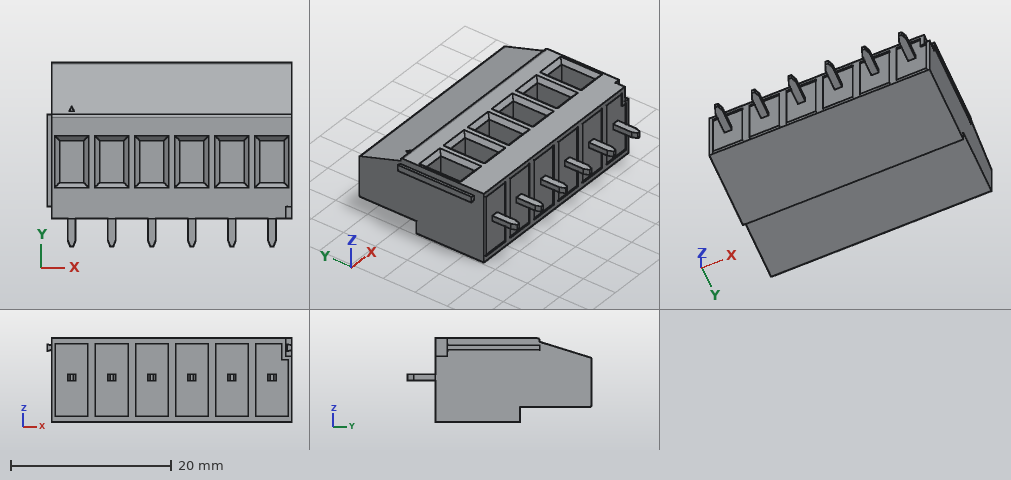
import cadquery as cq


POLES = 6
TOTAL_WIDTH = 30.6
RAIL_REACH = 0.58
BODY_WIDTH = TOTAL_WIDTH - RAIL_REACH
PITCH = BODY_WIDTH / POLES
HEIGHT = 10.5
DEPTH = 19.52
POLE_CENTRES = [(pole + 0.5) * PITCH for pole in range(POLES)]

FLANGE_DEPTH = 1.5
UNDERCUT_HEIGHT = 1.87
UNDERCUT_START = 10.6
SHOULDER_Y = 13.05
SHOULDER_BASE = 10.05
REAR_TOP = 8.02
SHOULDER_RADIUS = 0.35
REAR_RADIUS = 0.25

RAIL_TOP = HEIGHT - 0.75
RAIL_HEIGHT = 0.9
RAIL_NECK_INSET = 0.15
NOTCH_WIDTH = 0.75
NOTCH_HEIGHT = 2.25

WINDOW_WIDTH = 4.07
WINDOW_MARGIN = 0.73
WINDOW_DEPTH = 0.18
NOTCH_WALL_SIDE = 0.52
NOTCH_WALL_BELOW = 0.43

OPENING_WIDTH = 4.25
OPENING_LENGTH = 6.5
OPENING_FRONT = 3.9
OPENING_BEVEL = 0.6
OPENING_DEPTH = 6.12

PIN_WIDTH = 1.0
PIN_THICKNESS = 0.8
PIN_LENGTH = 3.5
PIN_TIP_LENGTH = 0.75
PIN_TIP_WIDTH = 0.4
PIN_CENTRE_Z = HEIGHT - 4.93

MARK_WIDTH = 0.6
MARK_LENGTH = 0.6
MARK_START = 13.43
MARK_DEPTH = 0.1


def box(x, y, z):
    """Box spanning the given (low, high) ranges."""
    size = (x[1] - x[0], y[1] - y[0], z[1] - z[0])
    return cq.Workplane("XY").box(*size, centered=False).translate((x[0], y[0], z[0]))


def along_y(points, start, end):
    """Prism with an outline in X and Z, spanning start to end along Y."""
    return cq.Workplane("XZ", origin=(0, start, 0)).polyline(points).close().extrude(start - end)


def make_body():
    """Housing with its stepped underside, sloped rear top and rounded long edges."""
    profile = [
        (0, 0),
        (UNDERCUT_START, 0),
        (UNDERCUT_START, UNDERCUT_HEIGHT),
        (DEPTH, UNDERCUT_HEIGHT),
        (DEPTH, REAR_TOP),
        (SHOULDER_Y, SHOULDER_BASE),
        (SHOULDER_Y, HEIGHT),
        (0, HEIGHT),
    ]
    body = cq.Workplane("YZ").polyline(profile).close().extrude(BODY_WIDTH)
    body = body.edges("|X and >Y").fillet(REAR_RADIUS)
    shoulder_edge = cq.selectors.NearestToPointSelector((BODY_WIDTH / 2, SHOULDER_Y, HEIGHT))
    return body.edges(shoulder_edge).fillet(SHOULDER_RADIUS)


def make_dovetail(neck_x):
    """Dovetail bar that widens towards -X from its neck."""
    tip_x = neck_x - RAIL_REACH
    low = RAIL_TOP - RAIL_HEIGHT
    outline = [
        (neck_x, low + RAIL_NECK_INSET),
        (neck_x, RAIL_TOP - RAIL_NECK_INSET),
        (tip_x, RAIL_TOP),
        (tip_x, low),
    ]
    return along_y(outline, FLANGE_DEPTH, SHOULDER_Y)


def make_flange_notch():
    """Upper corner cut through the flange, which opens the groove to the front."""
    return box((BODY_WIDTH - NOTCH_WIDTH, BODY_WIDTH), (0, FLANGE_DEPTH), (HEIGHT - NOTCH_HEIGHT, HEIGHT))


def make_window(centre_x):
    """Shallow front recess that leaves a wall around the flange notch."""
    half = WINDOW_WIDTH / 2
    window = box(
        (centre_x - half, centre_x + half), (0, WINDOW_DEPTH), (WINDOW_MARGIN, HEIGHT - WINDOW_MARGIN)
    )
    notch_wall = box(
        (BODY_WIDTH - NOTCH_WIDTH - NOTCH_WALL_SIDE, BODY_WIDTH),
        (0, WINDOW_DEPTH),
        (HEIGHT - NOTCH_HEIGHT - NOTCH_WALL_BELOW, HEIGHT),
    )
    return window.cut(notch_wall)


def make_opening(centre_x):
    """Rectangular blind pocket with a bevelled rim."""
    centre_y = OPENING_FRONT + OPENING_LENGTH / 2
    inner_width = OPENING_WIDTH - 2 * OPENING_BEVEL
    inner_length = OPENING_LENGTH - 2 * OPENING_BEVEL
    rim = (
        cq.Workplane("XY", origin=(centre_x, centre_y, HEIGHT))
        .rect(OPENING_WIDTH, OPENING_LENGTH)
        .workplane(offset=-OPENING_BEVEL)
        .rect(inner_width, inner_length)
        .loft(ruled=True)
    )
    shaft = (
        cq.Workplane("XY", origin=(centre_x, centre_y, HEIGHT - OPENING_DEPTH))
        .rect(inner_width, inner_length)
        .extrude(OPENING_DEPTH - OPENING_BEVEL)
    )
    return rim.union(shaft)


def make_pin(centre_x):
    """Flat pin with a tapered tip, seated on the floor of its window."""
    half = PIN_WIDTH / 2
    half_tip = PIN_TIP_WIDTH / 2
    taper_y = PIN_TIP_LENGTH - PIN_LENGTH
    outline = [
        (-half, WINDOW_DEPTH),
        (-half, taper_y),
        (-half_tip, -PIN_LENGTH),
        (half_tip, -PIN_LENGTH),
        (half, taper_y),
        (half, WINDOW_DEPTH),
    ]
    bottom = (centre_x, 0, PIN_CENTRE_Z - PIN_THICKNESS / 2)
    return cq.Workplane("XY", origin=bottom).polyline(outline).close().extrude(PIN_THICKNESS)


def make_mark(centre_x):
    """Triangle sunk into the slope, with its floor parallel to the slope."""
    slope = (REAR_TOP - SHOULDER_BASE) / (DEPTH - SHOULDER_Y)
    base_z = SHOULDER_BASE + slope * (MARK_START - SHOULDER_Y)
    plane = cq.Plane(origin=(centre_x, MARK_START, base_z), xDir=(1, 0, 0), normal=(0, -slope, 1))
    outline = [(-MARK_WIDTH / 2, 0), (MARK_WIDTH / 2, 0), (0, MARK_LENGTH)]
    return cq.Workplane(plane).polyline(outline).close().extrude(-MARK_DEPTH)


result = make_body()
result = result.cut(make_dovetail(BODY_WIDTH))
result = result.cut(make_flange_notch())
result = result.union(make_dovetail(0))
for pole_x in POLE_CENTRES:
    result = result.cut(make_window(pole_x))
    result = result.cut(make_opening(pole_x))
    result = result.union(make_pin(pole_x))
result = result.cut(make_mark(POLE_CENTRES[0]))